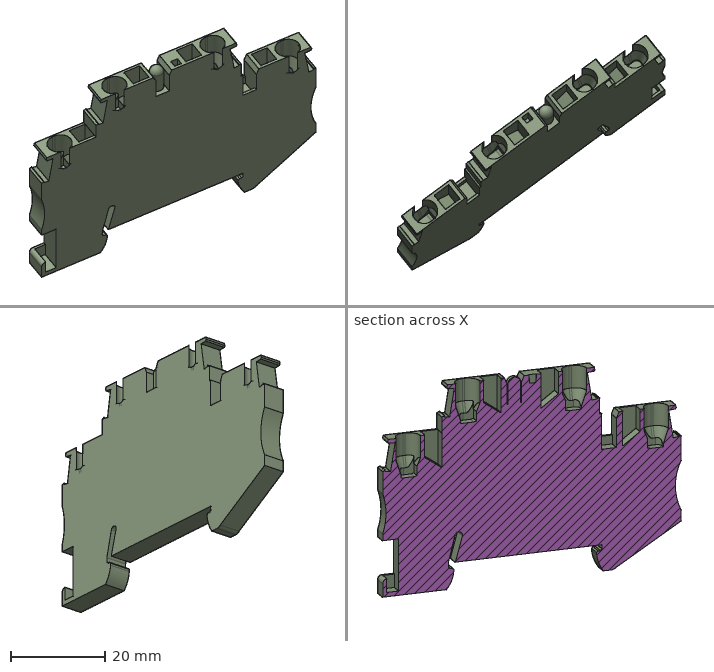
import cadquery as cq
import math

WIDTH = 5.15
LENGTH = 67.55
HEIGHT = 45.85

LOWER_DECK = 35.23
REAR_UPPER_WALL = 49.16
FRONT_UPPER_WALL = 13.36

LIP_EDGE = 1.28
LIP_TIP = 1.08
LIP_TIP_DROP = 0.6
LIP_UNDER = 1.3
LIP_UNDER_DROP = 0.95
NECK = 2.78
NECK_DROP = 1.08
FOOT = 1.77
FOOT_DROP = 7.25
RIDGE = 0.6
RIDGE_DROP = 6.8
WALL_DROP = 7.08

SLOT_FLOOR = 29.33
SLOT_FRONT = 49.57
SLOT_REAR = 52.83
SLOT_LEAD_RUN = 0.62
SLOT_LEAD_DROP = 1.35
SLOT_RECESS_DEPTH = 2.0

REAR_HOLLOW_TOP = 22.7
FRONT_HOLLOW_TOP = 23.2
REAR_HOLLOW_BOTTOM = 11.6
REAR_HOLLOW_DEPTH = 1.28
FRONT_HOLLOW_BOTTOM = 14.25
FRONT_HOLLOW_DEPTH = 0.73

RAIL_SEAT = 5.9
RAIL_LEDGE = 4.7
JAW_CHAMFER = 0.35
REAR_CORNER = 9.12
REAR_TOE_START = (52.75, 0.42)
REAR_TOE_BEND = (52.25, 0.11)
REAR_TOE_END = 51.73
REAR_HOOK_TOE = 49.9
REAR_HOOK_BELLY = (48.72, 2.3)
REAR_HOOK_TIP = 48.36
HOOK_SHOULDER = 3.9
SPRING_SLIT_MOUTH = 16.4
SPRING_SLIT_REAR = (18.02, 11.7)
SPRING_SLIT_TOP = (17.25, 12.6)
SPRING_SLIT_FRONT = (16.45, 12.05)
SPRING_SLIT_FOOT = (14.93, 6.05)
FRONT_HOOK_TIP = 16.17
FRONT_HOOK_BELLY = (15.75, 2.1)
FRONT_HOOK_TOE = 14.46
RELEASE_DEPTH = 3.58
RELEASE_BOTTOM = 4.07
RELEASE_TOP = 12.63
RELEASE_ROUND = 1.0
RELEASE_SIDE_WALL = 0.6
RELEASE_RECESS_DEPTH = 3.0

LAMP_Y = 29.78
LAMP_RADIUS = 1.55
NOTCH_HALF_WIDTH = 1.62
LAMP_SHOULDER = 44.56
LAMP_FLOOR = 39.9
LAMP_SINK = 0.2
NOTCH_LEAD_RUN = 0.6

POCKET_X = 2.55
POCKET_WIDTH = 3.9
POCKET_LENGTH = 3.85
POCKET_DEPTH = 5.0
POCKET_SLOPE = 35.0

ENTRY_X = 2.83
ENTRY_RADIUS = 2.45
ENTRY_STRETCH = 0.5
ENTRY_STRAIGHT = 5.0
CONE_DEPTH = 4.0
CONE_TAPER = 19.0
RAMP_CHORD = 1.95
RAMP_SLOPE = 67.0
CORE_X = 2.65
CORE_HALF_WIDTH = 1.42
CORE_OUTER = 1.53
CORE_CORNER = 1.1
CORE_FLAT = 1.33
CORE_STEP = 0.15

SOCKET_X = 3.67
SOCKET_Y = 33.95
SOCKET_TOP = 1.63
SOCKET_BOTTOM = 1.2
SOCKET_DEPTH = 3.0

BAYS = [
    (61.9, 56.25, LOWER_DECK, 1),
    (43.4, 37.8, HEIGHT, 1),
    (19.25, 24.85, HEIGHT, -1),
    (5.8, 11.45, LOWER_DECK, -1),
]


def lip_points(wall, deck, inward):
    """Outline of a marker lip, from the deck edge down to the wall below it."""
    offsets = [
        (LIP_EDGE, 0),
        (LIP_TIP, LIP_TIP_DROP),
        (LIP_UNDER, LIP_UNDER_DROP),
        (NECK, NECK_DROP),
        (FOOT, FOOT_DROP),
        (RIDGE, WALL_DROP),
        (RIDGE, RIDGE_DROP),
        (0, WALL_DROP),
    ]
    return [(wall + inward * run, deck - drop) for run, drop in offsets]


def draw_through(outline, points):
    for point in points:
        outline = outline.lineTo(*point)
    return outline


def make_body():
    notch_rear = LAMP_Y + NOTCH_HALF_WIDTH
    notch_front = LAMP_Y - NOTCH_HALF_WIDTH
    hollow_rear_mid = (REAR_HOLLOW_TOP + REAR_HOLLOW_BOTTOM) / 2
    hollow_front_mid = (FRONT_HOLLOW_TOP + FRONT_HOLLOW_BOTTOM) / 2

    outline = cq.Workplane("YZ").moveTo(notch_rear, LAMP_FLOOR)
    outline = outline.lineTo(notch_rear, LAMP_SHOULDER)
    outline = outline.lineTo(notch_rear + NOTCH_LEAD_RUN, HEIGHT)
    outline = draw_through(outline, lip_points(REAR_UPPER_WALL, HEIGHT, -1))
    outline = draw_through(outline, [
        (REAR_UPPER_WALL, LOWER_DECK),
        (SLOT_FRONT, LOWER_DECK),
        (SLOT_FRONT, SLOT_FLOOR),
        (SLOT_REAR, SLOT_FLOOR),
        (SLOT_REAR, LOWER_DECK - SLOT_LEAD_DROP),
        (SLOT_REAR + SLOT_LEAD_RUN, LOWER_DECK),
    ])
    outline = draw_through(outline, lip_points(LENGTH, LOWER_DECK, -1))
    outline = outline.lineTo(LENGTH, REAR_HOLLOW_TOP)
    outline = outline.threePointArc(
        (LENGTH - REAR_HOLLOW_DEPTH, hollow_rear_mid), (LENGTH, REAR_HOLLOW_BOTTOM))

    outline = outline.lineTo(LENGTH, REAR_CORNER).lineTo(*REAR_TOE_START)
    outline = outline.threePointArc(REAR_TOE_BEND, (REAR_TOE_END, 0))
    outline = outline.lineTo(REAR_HOOK_TOE, 0)
    outline = outline.threePointArc(REAR_HOOK_BELLY, (REAR_HOOK_TIP, HOOK_SHOULDER))
    outline = draw_through(outline, [
        (REAR_HOOK_TIP, RAIL_LEDGE - JAW_CHAMFER),
        (REAR_HOOK_TIP + JAW_CHAMFER, RAIL_LEDGE),
        (SLOT_FRONT - JAW_CHAMFER, RAIL_LEDGE),
        (SLOT_FRONT, RAIL_LEDGE + JAW_CHAMFER),
        (SLOT_FRONT, RAIL_SEAT),
    ])

    outline = outline.lineTo(SPRING_SLIT_MOUTH, RAIL_SEAT).lineTo(*SPRING_SLIT_REAR)
    outline = outline.threePointArc(SPRING_SLIT_TOP, SPRING_SLIT_FRONT)
    slit_y = SPRING_SLIT_FOOT[0]
    outline = draw_through(outline, [
        SPRING_SLIT_FOOT,
        (slit_y, RAIL_LEDGE + JAW_CHAMFER),
        (slit_y + JAW_CHAMFER, RAIL_LEDGE),
        (FRONT_HOOK_TIP - JAW_CHAMFER, RAIL_LEDGE),
        (FRONT_HOOK_TIP, RAIL_LEDGE - JAW_CHAMFER),
        (FRONT_HOOK_TIP, HOOK_SHOULDER),
    ])
    outline = outline.threePointArc(FRONT_HOOK_BELLY, (FRONT_HOOK_TOE, 0))

    arc_inset = RELEASE_ROUND * (1 - math.sqrt(0.5))
    outline = outline.lineTo(0, 0).lineTo(0, RELEASE_BOTTOM - RELEASE_ROUND)
    outline = outline.threePointArc(
        (arc_inset, RELEASE_BOTTOM - arc_inset), (RELEASE_ROUND, RELEASE_BOTTOM))
    outline = draw_through(outline, [
        (RELEASE_DEPTH, RELEASE_BOTTOM),
        (RELEASE_DEPTH, RELEASE_TOP),
        (0, RELEASE_TOP),
        (0, FRONT_HOLLOW_BOTTOM),
    ])
    outline = outline.threePointArc((FRONT_HOLLOW_DEPTH, hollow_front_mid), (0, FRONT_HOLLOW_TOP))
    outline = draw_through(outline, reversed(lip_points(0, LOWER_DECK, 1)))
    outline = outline.lineTo(FRONT_UPPER_WALL, LOWER_DECK)
    outline = draw_through(outline, reversed(lip_points(FRONT_UPPER_WALL, HEIGHT, 1)))
    outline = draw_through(outline, [
        (notch_front - NOTCH_LEAD_RUN, HEIGHT),
        (notch_front, LAMP_SHOULDER),
        (notch_front, LAMP_FLOOR),
    ])
    return outline.close().extrude(WIDTH)


def make_lamp():
    """Round lamp with a domed top, sunk slightly into the notch floor."""
    dome = HEIGHT - LAMP_SHOULDER
    sphere_radius = (LAMP_RADIUS ** 2 + dome ** 2) / (2 * dome)
    mid_angle = math.asin(LAMP_RADIUS / sphere_radius) / 2
    mid_point = (
        sphere_radius * math.sin(mid_angle),
        HEIGHT - sphere_radius * (1 - math.cos(mid_angle)),
    )
    profile = (
        cq.Workplane("XZ")
        .moveTo(0, LAMP_FLOOR - LAMP_SINK)
        .lineTo(LAMP_RADIUS, LAMP_FLOOR - LAMP_SINK)
        .lineTo(LAMP_RADIUS, LAMP_SHOULDER)
        .threePointArc(mid_point, (0, HEIGHT))
        .close()
    )
    lamp = profile.revolve(360, (0, 0, 0), (0, 1, 0))
    return lamp.translate((WIDTH / 2, LAMP_Y, 0))


def prism(points, x_centre, x_width):
    """YZ polygon extruded symmetrically about a plane of constant X."""
    plane = cq.Workplane("YZ", origin=(x_centre, 0, 0))
    return plane.polyline(points).close().extrude(x_width / 2, both=True)


def tool_pocket(y, deck, side):
    """Square pocket whose floor slopes down toward the middle of the part."""
    high = y + side * POCKET_LENGTH / 2
    low = y - side * POCKET_LENGTH / 2
    floor_high = deck - POCKET_DEPTH
    floor_low = floor_high - POCKET_LENGTH * math.tan(math.radians(POCKET_SLOPE))
    points = [(high, deck), (low, deck), (low, floor_low), (high, floor_high)]
    return prism(points, POCKET_X, POCKET_WIDTH)


def oblong(y, base, height, taper=0):
    """Oblong prism of the wire entry outline, optionally tapering along its height."""
    plane = cq.Workplane("XY", origin=(ENTRY_X, y, base))
    outline = plane.slot2D(2 * ENTRY_RADIUS + ENTRY_STRETCH, 2 * ENTRY_RADIUS, 90)
    return outline.extrude(height, taper=taper)


def wire_entry(y, deck, side):
    """Oblong shaft breaking through +X, tapering to a core with a ramp on its inner side."""
    cone_top = deck - ENTRY_STRAIGHT
    floor = cone_top - CONE_DEPTH
    chord = y - side * RAMP_CHORD
    flat = y - side * CORE_FLAT
    edge = y - side * (ENTRY_RADIUS + ENTRY_STRETCH / 2)
    outer = y + side * CORE_OUTER

    shaft = oblong(y, cone_top, ENTRY_STRAIGHT)
    cone = oblong(y, cone_top, -CONE_DEPTH, CONE_TAPER)

    ramp_depth = abs(edge - chord) * math.tan(math.radians(RAMP_SLOPE))
    ramp_low = (chord, cone_top - ramp_depth)
    backing = prism(
        [(edge, cone_top), ramp_low, (chord, floor), (edge, floor)], ENTRY_X, 2 * ENTRY_RADIUS)
    cone = cone.cut(backing)
    ramp_points = [(edge, cone_top), (chord, cone_top), ramp_low]
    ramp = prism(ramp_points, ENTRY_X, 2 * ENTRY_RADIUS)
    ramp = ramp.intersect(oblong(y, cone_top, -CONE_DEPTH))

    core_points = [
        (chord, cone_top),
        (chord, floor + CORE_STEP),
        (flat, floor),
        (outer, floor),
        (outer, cone_top),
    ]
    core = prism(core_points, CORE_X, 2 * CORE_HALF_WIDTH)
    outer_face = ">Y" if side > 0 else "<Y"
    core = core.faces(outer_face).edges("|Z").fillet(CORE_CORNER)
    return shaft.union(cone).union(ramp).union(core)


def test_socket():
    top = cq.Workplane("XY", origin=(SOCKET_X, SOCKET_Y, HEIGHT)).rect(SOCKET_TOP, SOCKET_TOP)
    return top.workplane(offset=-SOCKET_DEPTH).rect(SOCKET_BOTTOM, SOCKET_BOTTOM).loft()


def slot_recess():
    """Recess in the floor of the transverse slot."""
    recess = cq.Workplane("XY").box(POCKET_WIDTH, SLOT_REAR - SLOT_FRONT, SLOT_RECESS_DEPTH)
    middle = (SLOT_FRONT + SLOT_REAR) / 2
    return recess.translate((POCKET_X, middle, SLOT_FLOOR - SLOT_RECESS_DEPTH / 2))


def release_recess():
    """Recess behind the rounded bar of the release tab, open to +X."""
    low = RELEASE_BOTTOM - RELEASE_RECESS_DEPTH
    recess = cq.Workplane("XY", origin=(RELEASE_SIDE_WALL, RELEASE_ROUND, low))
    size = (WIDTH - RELEASE_SIDE_WALL, RELEASE_DEPTH - RELEASE_ROUND, RELEASE_RECESS_DEPTH)
    return recess.box(*size, centered=False)


result = make_body().union(make_lamp())
for entry_y, pocket_y, deck, side in BAYS:
    result = result.cut(tool_pocket(pocket_y, deck, side))
    result = result.cut(wire_entry(entry_y, deck, side))
result = result.cut(test_socket()).cut(slot_recess()).cut(release_recess())